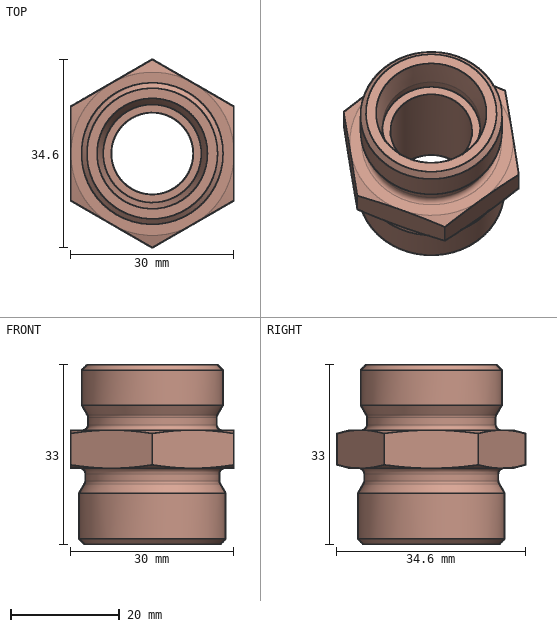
import cadquery as cq
import math

total_height = 33.0
across_flats = 30.0
hex_bottom = 14.0
hex_height = 7.0
hex_top = hex_bottom + hex_height
across_corners = across_flats / math.cos(math.radians(30))
hex_chamfer_angle = 15

upper_diameter = 26.0
upper_neck_diameter = 23.7
upper_length = 7.4
lower_diameter = 27.0
lower_neck_diameter = 24.7
lower_length = 9.42
end_chamfer = 1.0
neck_radius = 1.0
undercut_angle = 30

bore_diameter = 15.0
socket_diameter = 18
socket_depth = 7.5
mouth_diameter = 20.3
mouth_half_angle = 12


def make_end(diameter, neck_diameter, straight_length, neck_end):
    """Turned end rising from z = 0 to the hexagon face at z = neck_end."""
    radius = diameter / 2
    neck = neck_diameter / 2
    slope = math.radians(undercut_angle)
    cone_end = straight_length + (radius - neck) / math.tan(slope)

    tangent = neck_radius * math.tan(slope / 2)
    blend_start = (neck + tangent * math.sin(slope), cone_end - tangent * math.cos(slope))
    blend_middle = (
        neck + neck_radius * (1 - math.cos(slope / 2)),
        cone_end + tangent - neck_radius * math.sin(slope / 2),
    )

    flare_start = neck_end - neck_radius
    flare_middle = (
        neck + neck_radius * (1 - math.cos(math.radians(45))),
        flare_start + neck_radius * math.sin(math.radians(45)),
    )
    return (
        cq.Workplane("XZ")
        .lineTo(radius - end_chamfer, 0)
        .lineTo(radius, end_chamfer)
        .lineTo(radius, straight_length)
        .lineTo(*blend_start)
        .threePointArc(blend_middle, (neck, cone_end + tangent))
        .lineTo(neck, flare_start)
        .threePointArc(flare_middle, (neck + neck_radius, neck_end))
        .lineTo(0, neck_end)
        .close()
        .revolve(360, (0, 0, 0), (0, 1, 0))
    )


def make_hexagon():
    """Hexagon with corners on the Y axis and corner chamfers on both faces."""
    prism = (
        cq.Workplane("XY")
        .workplane(offset=hex_bottom)
        .polygon(6, across_corners)
        .extrude(hex_height)
        .rotate((0, 0, 0), (0, 0, 1), 90)
    )
    flat_radius = across_flats / 2
    corner_radius = across_corners / 2
    drop = (corner_radius - flat_radius) * math.tan(math.radians(hex_chamfer_angle))
    envelope = (
        cq.Workplane("XZ")
        .moveTo(0, hex_bottom)
        .lineTo(flat_radius, hex_bottom)
        .lineTo(corner_radius, hex_bottom + drop)
        .lineTo(corner_radius, hex_top - drop)
        .lineTo(flat_radius, hex_top)
        .lineTo(0, hex_top)
        .close()
        .revolve(360, (0, 0, 0), (0, 1, 0))
    )
    return prism.intersect(envelope)


def make_bore():
    """Through bore, tube socket and conical mouth as one cutting body."""
    mouth = mouth_diameter / 2
    socket = socket_diameter / 2
    bore = bore_diameter / 2
    mouth_depth = (mouth - socket) / math.tan(math.radians(mouth_half_angle))
    return (
        cq.Workplane("XZ")
        .lineTo(bore, 0)
        .lineTo(bore, total_height - socket_depth)
        .lineTo(socket, total_height - socket_depth)
        .lineTo(socket, total_height - mouth_depth)
        .lineTo(mouth, total_height)
        .lineTo(0, total_height)
        .close()
        .revolve(360, (0, 0, 0), (0, 1, 0))
    )


lower_end = make_end(lower_diameter, lower_neck_diameter, lower_length, hex_bottom)

upper_end = (
    make_end(upper_diameter, upper_neck_diameter, upper_length, total_height - hex_top)
    .rotate((0, 0, 0), (1, 0, 0), 180)
    .translate((0, 0, total_height))
)

result = make_hexagon().union(lower_end).union(upper_end).cut(make_bore())